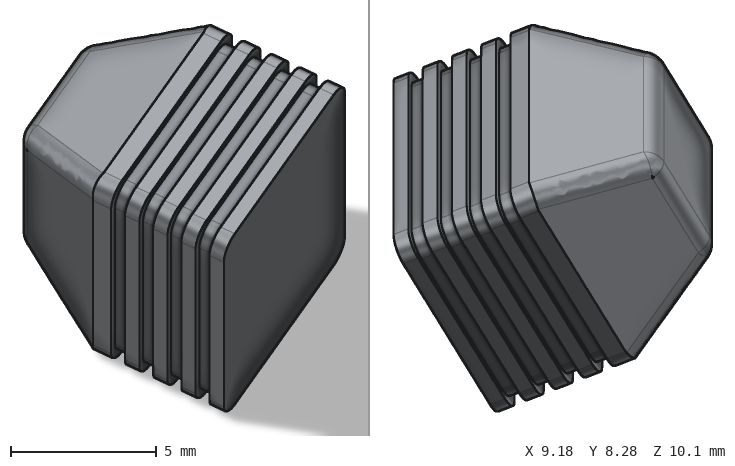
import cadquery as cq
import math

length = 9.18
width = 8.28
height = 10.08

nose_length = 4.0
nose_angle = 25.0
edge_radius = 0.76

groove_count = 4
groove_width = 0.55
rib_width = 0.567
groove_depth = 0.255
groove_pitch = groove_width + rib_width


def make_body():
    """Rounded block trimmed at one end by a rounded pyramid of the same edge radius."""
    block = cq.Workplane("YZ").rect(width, height).extrude(length).edges("|X").fillet(edge_radius)

    slope = math.tan(math.radians(nose_angle))
    tip_inset = nose_length * slope
    base_outset = (length - nose_length) * slope
    pyramid = (
        cq.Workplane("YZ")
        .rect(width - 2 * tip_inset, height - 2 * tip_inset)
        .workplane(offset=length)
        .rect(width + 2 * base_outset, height + 2 * base_outset)
        .loft(ruled=True)
        .edges("not(>X)")
        .fillet(edge_radius)
    )
    return block.intersect(pyramid)


def make_groove(start):
    """Ring-shaped cutter that follows the rounded outline of the body."""
    floor_width = width - 2 * groove_depth
    floor_height = height - 2 * groove_depth
    core = (
        cq.Workplane("YZ")
        .workplane(offset=start)
        .rect(floor_width, floor_height)
        .extrude(groove_width)
        .edges("|X")
        .fillet(edge_radius)
    )
    return (
        cq.Workplane("YZ")
        .workplane(offset=start)
        .rect(width, height)
        .extrude(groove_width)
        .cut(core)
    )


result = make_body()
for index in range(groove_count):
    groove_start = length - (index + 1) * groove_pitch
    result = result.cut(make_groove(groove_start))